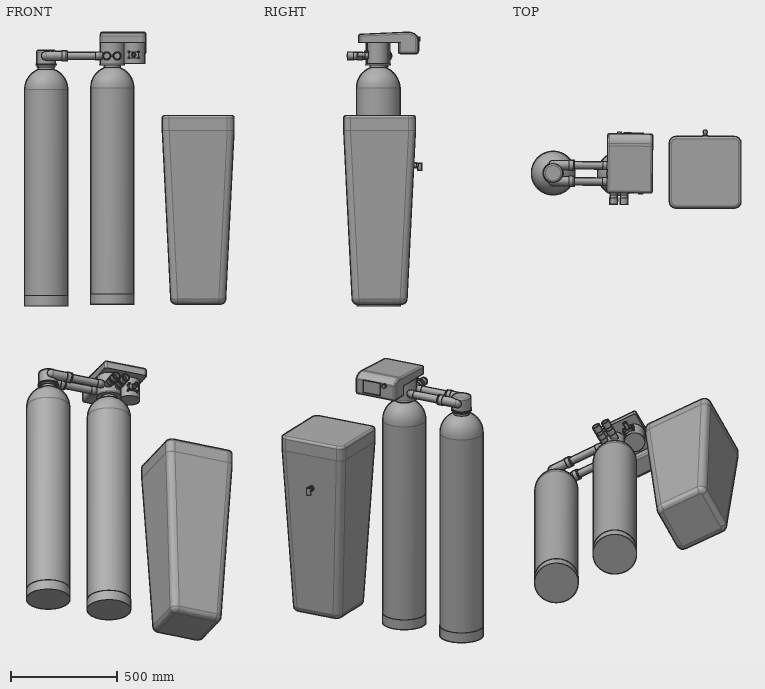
import cadquery as cq
import math


TANK_D = 205
FOOT_D = 207
FOOT_H = 50
SHOULDER_H = 1021
NECK_D = 76
NECK_H = 1128

TANK_SPACING = 311.5
TANK_DROP = 7.96
LINK_ANGLE = -0.6

ADAPTER_SEAT_D = 85
ADAPTER_SEAT_H = 8
ADAPTER_RIM_D = 96
ADAPTER_RIM_H = 5
ADAPTER_D = 90
ADAPTER_H = 66
ADAPTER_FILLET = 9

PORT_Z = 1172
PIPE_Y = 38
PIPE_D = 36
PIPE_SLEEVE_D = 38
PIPE_SLEEVE_X = -78
OUTLET_D = 44
COLLAR_D = 49
COLLAR_LIP_D = 48
COLLAR_START_X = -237
COLLAR_END_X = -211
COLLAR_LIP = 6

BODY_D = 114
BODY_FLANGE_D = 118
BODY_FLANGE_H = 8
SIDE_BODY_D = 98
SIDE_BODY_X = 105
SIDE_BODY_BASE = 1136

PORT_X = 24.5
PORT_STEPS = [(34, 74), (38, 100), (36, 115), (38, 145)]
PORT_BORE_D = 30
PORT_BORE_DEPTH = 45
PORT_CLIP_T = 8

DRAIN_X = 102
DRAIN_Z = 1177
DRAIN_PLATE_X = 46
DRAIN_PLATE_Z = 28
DRAIN_PLATE_END = 60
DRAIN_STUD_D = 8
DRAIN_STUD_END = 63
DRAIN_D = 20
DRAIN_BORE_D = 12
DRAIN_END = 95

COVER_X0 = -57
COVER_X1 = 157
COVER_FRONT_Y = -90
COVER_BACK_Y = 189
COVER_BASE = 1234
COVER_FRONT_TOP = 1274
COVER_TOP = 1284
COVER_RIDGE_Y = (131, 143)
COVER_BACK_TOP = 1258
COVER_LEG_Y = 98
COVER_LEG_BASE = 1182
COVER_CORNER_R = 10
COVER_EDGE_R = 9

PANEL_X0 = 20
PANEL_X1 = 112
PANEL_Z0 = 1198
PANEL_Z1 = 1260
PANEL_T = 5
KNOB_D = 20
KNOB_T = 9
KNOB_X = -1
KNOB_Z = 1251

CABINET_W = 340
CABINET_X = 405.5
CABINET_Y = 7
CABINET_H = 891
CABINET_BASE_W = 258
CABINET_CORNER_R = 33
CABINET_BASE_FILLET = 27
LID_H = 70
LID_EDGE_R = 12

ELBOW_Z = 656
ELBOW_FLANGE_D = 25
ELBOW_FLANGE_OUT = 3
ELBOW_D = 16
ELBOW_LEG_D = 20
ELBOW_REACH = 30
ELBOW_LEG_H = 34


def cylinder_z(diameter, x, y, z0, z1):
    return cq.Workplane("XY", origin=(x, y, z0)).circle(diameter / 2).extrude(z1 - z0)


def cylinder_x(diameter, x0, x1, y, z):
    return cq.Workplane("YZ", origin=(x0, y, z)).circle(diameter / 2).extrude(x1 - x0)


def cylinder_y(diameter, x, y0, y1, z):
    """Cylinder along Y, running toward -Y from y0 to y1."""
    return cq.Workplane("XZ", origin=(x, y0, z)).circle(diameter / 2).extrude(y0 - y1)


def sphere(diameter, x, y, z):
    return cq.Workplane("XY", origin=(x, y, z)).sphere(diameter / 2)


def make_tank():
    radius = TANK_D / 2
    neck_r = NECK_D / 2
    neck_start = SHOULDER_H + math.sqrt(radius**2 - neck_r**2)
    dome_mid = radius * math.sqrt(0.5)
    return (
        cq.Workplane("XZ")
        .lineTo(FOOT_D / 2, 0)
        .lineTo(FOOT_D / 2, FOOT_H)
        .lineTo(radius, FOOT_H)
        .lineTo(radius, SHOULDER_H)
        .threePointArc((dome_mid, SHOULDER_H + dome_mid), (neck_r, neck_start))
        .lineTo(neck_r, NECK_H)
        .lineTo(0, NECK_H)
        .close()
        .revolve(360, (0, 0, 0), (0, 1, 0))
    )


def make_adapter():
    x = -TANK_SPACING
    base = NECK_H - TANK_DROP
    rim_base = base + ADAPTER_SEAT_H
    cap_base = rim_base + ADAPTER_RIM_H
    seat = cylinder_z(ADAPTER_SEAT_D, x, 0, base, rim_base)
    rim = cylinder_z(ADAPTER_RIM_D, x, 0, rim_base, cap_base)
    cap = cylinder_z(ADAPTER_D, x, 0, cap_base, cap_base + ADAPTER_H)
    cap = cap.faces(">Z").edges().fillet(ADAPTER_FILLET)
    return seat.union(rim).union(cap)


def make_link_pipe(side):
    """Pipe from the adapter to the valve body, on the +Y (side=1) or -Y (side=-1) side."""
    y = side * PIPE_Y
    start_x = -TANK_SPACING
    end_x = -BODY_D / 2
    outlet = cylinder_x(OUTLET_D, start_x, COLLAR_START_X, y, PORT_Z)
    lip_x = COLLAR_END_X - COLLAR_LIP
    collar = cylinder_x(COLLAR_D, COLLAR_START_X, lip_x, y, PORT_Z)
    lip = cylinder_x(COLLAR_LIP_D, lip_x, COLLAR_END_X, y, PORT_Z)
    pipe = cylinder_x(PIPE_D, COLLAR_END_X, PIPE_SLEEVE_X, y, PORT_Z)
    sleeve = cylinder_x(PIPE_SLEEVE_D, PIPE_SLEEVE_X, end_x, y, PORT_Z)
    bends = sphere(OUTLET_D, start_x, y, PORT_Z).union(sphere(PIPE_SLEEVE_D, end_x, y, PORT_Z))
    return bends.union(outlet).union(collar).union(lip).union(pipe).union(sleeve)


def make_valve_body():
    flange_top = NECK_H + BODY_FLANGE_H
    main = (
        cq.Workplane("XZ")
        .moveTo(0, NECK_H)
        .lineTo(BODY_FLANGE_D / 2, NECK_H)
        .lineTo(BODY_D / 2, flange_top)
        .lineTo(BODY_D / 2, COVER_BASE)
        .lineTo(0, COVER_BASE)
        .close()
        .revolve(360, (0, 0, 0), (0, 1, 0))
    )
    side = cylinder_z(SIDE_BODY_D, SIDE_BODY_X, 0, SIDE_BODY_BASE, COVER_BASE)
    return main.union(side)


def make_port(x):
    port = cylinder_y(PORT_STEPS[0][0], x, 0, -PORT_STEPS[0][1], PORT_Z)
    for (_, start), (diameter, end) in zip(PORT_STEPS, PORT_STEPS[1:]):
        port = port.union(cylinder_y(diameter, x, -start, -end, PORT_Z))
    port_end = PORT_STEPS[-1][1]
    return port.cut(cylinder_y(PORT_BORE_D, x, PORT_BORE_DEPTH - port_end, -port_end, PORT_Z))


def make_port_clip():
    start = PORT_STEPS[0][1]
    end = PORT_STEPS[1][1]
    return cq.Workplane("XY").box(2 * PORT_X - PORT_BORE_D, end - start, PORT_CLIP_T).translate(
        (0, -(start + end) / 2, PORT_Z)
    )


def make_drain():
    """Flanged drain outlet with a stud at each corner of its plate."""
    plate = cq.Workplane("XZ", origin=(DRAIN_X, 0, DRAIN_Z))
    block = plate.rect(DRAIN_PLATE_X, DRAIN_PLATE_Z).extrude(DRAIN_PLATE_END)
    studs = (
        plate.rect(DRAIN_PLATE_X, DRAIN_PLATE_Z, forConstruction=True)
        .vertices()
        .circle(DRAIN_STUD_D / 2)
        .extrude(DRAIN_STUD_END)
    )
    pipe = cylinder_y(DRAIN_D, DRAIN_X, 0, -DRAIN_END, DRAIN_Z)
    bore = cylinder_y(DRAIN_BORE_D, DRAIN_X, -DRAIN_PLATE_END, -DRAIN_END, DRAIN_Z)
    return block.union(studs).union(pipe).cut(bore)


def make_cover():
    ridge_front, ridge_back = COVER_RIDGE_Y
    cover = (
        cq.Workplane("YZ", origin=(COVER_X0, 0, 0))
        .moveTo(COVER_FRONT_Y, COVER_BASE)
        .lineTo(COVER_FRONT_Y, COVER_FRONT_TOP)
        .lineTo(ridge_front, COVER_TOP)
        .lineTo(ridge_back, COVER_TOP)
        .tangentArcPoint((COVER_BACK_Y, COVER_BACK_TOP), relative=False)
        .lineTo(COVER_BACK_Y, COVER_LEG_BASE)
        .lineTo(COVER_LEG_Y, COVER_LEG_BASE)
        .lineTo(COVER_LEG_Y, COVER_BASE)
        .close()
        .extrude(COVER_X1 - COVER_X0)
        .edges("|Z")
        .fillet(COVER_CORNER_R)
        .faces("<Z")
        .edges()
        .fillet(COVER_EDGE_R)
    )
    top_zone = cq.selectors.BoxSelector(
        (COVER_X0 - 1, COVER_FRONT_Y - 1, COVER_BACK_TOP - 1),
        (COVER_X1 + 1, COVER_BACK_Y + 1, COVER_TOP + 1),
    )
    return cover.edges(top_zone).edges("not |Z").edges("(not |X) or <Y or >Y").fillet(COVER_EDGE_R)


def make_display():
    """Panel and knob on the back of the valve cover."""
    panel = (
        cq.Workplane("XY")
        .box(
            PANEL_X1 - PANEL_X0,
            COVER_EDGE_R + PANEL_T,
            PANEL_Z1 - PANEL_Z0,
            centered=False,
        )
        .translate((PANEL_X0, COVER_BACK_Y - COVER_EDGE_R, PANEL_Z0))
    )
    knob = cylinder_y(KNOB_D, KNOB_X, COVER_BACK_Y + KNOB_T, COVER_BACK_Y - COVER_EDGE_R, KNOB_Z)
    return panel.union(knob)


def make_valve():
    valve = make_valve_body().union(make_adapter()).union(make_cover()).union(make_display())
    for side in (1, -1):
        valve = valve.union(make_link_pipe(side)).union(make_port(side * PORT_X))
    valve = valve.union(make_port_clip()).union(make_drain())
    return valve.rotate((0, 0, 0), (0, 0, 1), LINK_ANGLE)


def rounded_square(width, z):
    square = cq.Sketch().rect(width, width).vertices().fillet(CABINET_CORNER_R)
    return square.moved(cq.Location(cq.Vector(0, 0, z)))


def make_overflow_elbow():
    """Elbow on the back wall of the cabinet, with its leg turned downward."""
    leg_y = CABINET_W / 2 + ELBOW_REACH - ELBOW_LEG_D / 2
    flange_end = CABINET_W / 2 + ELBOW_FLANGE_OUT
    arm = cylinder_y(ELBOW_D, 0, leg_y, CABINET_BASE_W / 2, ELBOW_Z)
    flange = cylinder_y(ELBOW_FLANGE_D, 0, flange_end, CABINET_BASE_W / 2, ELBOW_Z)
    leg_top = ELBOW_Z + ELBOW_LEG_D / 2
    leg = cylinder_z(ELBOW_LEG_D, 0, leg_y, leg_top - ELBOW_LEG_H, leg_top)
    return arm.union(flange).union(leg)


def make_cabinet():
    lid_base = CABINET_H - LID_H
    tub = (
        cq.Workplane("XY")
        .placeSketch(rounded_square(CABINET_BASE_W, 0), rounded_square(CABINET_W, lid_base))
        .loft()
        .faces("<Z")
        .edges()
        .fillet(CABINET_BASE_FILLET)
    )
    lid = (
        cq.Workplane("XY")
        .placeSketch(rounded_square(CABINET_W, lid_base))
        .extrude(LID_H)
        .faces(">Z")
        .edges()
        .fillet(LID_EDGE_R)
    )
    cabinet = tub.union(lid).union(make_overflow_elbow())
    return cabinet.translate((CABINET_X, CABINET_Y, 0))


main_tank = make_tank()
twin_angle = math.radians(LINK_ANGLE)
twin_x = -TANK_SPACING * math.cos(twin_angle)
twin_y = -TANK_SPACING * math.sin(twin_angle)
twin_tank = make_tank().translate((twin_x, twin_y, -TANK_DROP))
valve = make_valve()
cabinet = make_cabinet()

result = cq.Compound.makeCompound([main_tank.val(), twin_tank.val(), valve.val(), cabinet.val()])